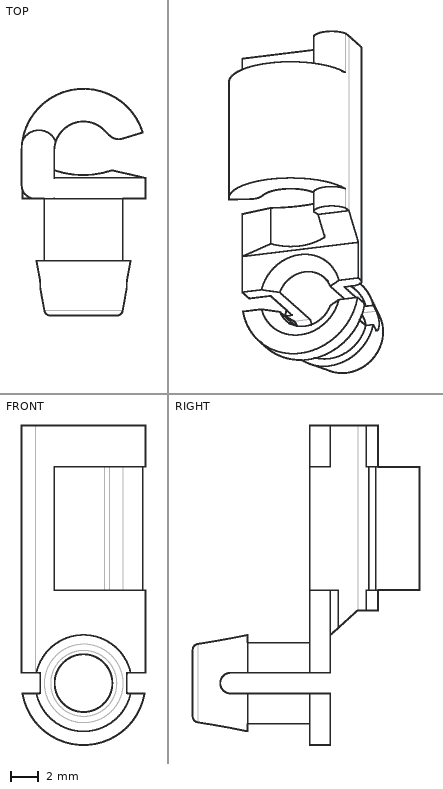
import cadquery as cq
import math

half_width = 4.5
plate_thickness = 1.5
top_z = 18.72
corner_radius = 1.0

hook_center_y = 3.48
hook_outer_radius = half_width
hook_inner_radius = 2.11
hook_end_angle = math.radians(17)
hook_flat_angle = math.radians(45)
hook_lip_radius = 2.97
wall_inner_x = -hook_inner_radius
wall_tip_y = 4.97
wall_cap_start_y = 4.13
wall_bottom_z = 5.27
slope_bottom_z = 3.48
window_bottom_z = 6.75
window_top_z = 15.7

saddle_peak_x = 2.07
saddle_peak_y = 2.07
saddle_valley_y = 1.72

peg_radius = 2.95
head_start = 4.5
head_radius = 3.5
head_tip_radius = 2.79
head_tip_rounding = 0.46
peg_length = 8.5
bore_radius = 2.1
countersink = 1.0
slot_width = 1.49
slot_depth = 6.48


def prism(sketch, bottom_z, upper_z):
    """Extrude a closed XY outline between two heights."""
    return sketch.extrude(upper_z - bottom_z).translate((0, 0, bottom_z))


def on_hook(radius, angle):
    """Point at a radius and angle about the hook axis."""
    return (radius * math.cos(angle), hook_center_y + radius * math.sin(angle))


def circle_x(radius, y):
    """Left-hand X of a circle about the hook axis at a given Y."""
    return -math.sqrt(radius**2 - (y - hook_center_y) ** 2)


def make_plate():
    panel = cq.Workplane("XY").box(2 * half_width, plate_thickness, top_z, centered=(True, False, False))
    window = cq.Workplane("XY").box(
        half_width - wall_inner_x, plate_thickness, window_top_z - window_bottom_z, centered=False
    )
    panel = panel.cut(window.translate((wall_inner_x, 0, window_bottom_z)))
    disc = cq.Workplane("XZ").circle(half_width).extrude(-plate_thickness)
    lower_half = cq.Workplane("XY").box(
        2 * half_width, plate_thickness, half_width, centered=(True, False, False)
    ).translate((0, 0, -half_width))
    return panel.union(disc.intersect(lower_half))


def make_wall():
    cap_left = (circle_x(hook_outer_radius, wall_cap_start_y), wall_cap_start_y)
    cap_right = (circle_x(hook_inner_radius, wall_cap_start_y), wall_cap_start_y)
    shoulder_y = (hook_center_y + wall_cap_start_y) / 2
    outline = (
        cq.Workplane("XY")
        .moveTo(-half_width, 0)
        .lineTo(-half_width, hook_center_y)
        .threePointArc((circle_x(hook_outer_radius, shoulder_y), shoulder_y), cap_left)
        .threePointArc(((wall_inner_x - half_width) / 2, wall_tip_y), cap_right)
        .threePointArc(
            (circle_x(hook_inner_radius, shoulder_y), shoulder_y), (wall_inner_x, hook_center_y)
        )
        .lineTo(wall_inner_x, 0)
        .close()
    )
    return prism(outline, 0, top_z)


def make_saddle():
    outline = (
        cq.Workplane("XY")
        .moveTo(wall_inner_x, 0)
        .lineTo(wall_inner_x, saddle_peak_y)
        .threePointArc((0, saddle_valley_y), (saddle_peak_x, saddle_peak_y))
        .lineTo(half_width, plate_thickness)
        .lineTo(half_width, 0)
        .close()
    )
    return prism(outline, 0, window_bottom_z)


def make_hook():
    middle = math.radians(90)
    corner_angle = hook_flat_angle - hook_end_angle
    lip_setback = hook_lip_radius - hook_inner_radius / math.cos(corner_angle)
    flat_length = hook_inner_radius * math.tan(corner_angle) - lip_setback
    flat_x, flat_y = on_hook(hook_inner_radius, hook_flat_angle)
    lip_start = (
        flat_x + flat_length * math.sin(hook_flat_angle),
        flat_y - flat_length * math.cos(hook_flat_angle),
    )
    outline = (
        cq.Workplane("XY")
        .moveTo(-hook_outer_radius, hook_center_y)
        .threePointArc(on_hook(hook_outer_radius, middle), on_hook(hook_outer_radius, hook_end_angle))
        .lineTo(*on_hook(hook_lip_radius, hook_end_angle))
        .tangentArcPoint(lip_start, relative=False)
        .lineTo(flat_x, flat_y)
        .threePointArc(on_hook(hook_inner_radius, middle), (-hook_inner_radius, hook_center_y))
        .close()
    )
    return prism(outline, window_bottom_z, window_top_z)


def make_lower_relief():
    """Space behind the plate, under the sloping lower end of wall and saddle."""
    return (
        cq.Workplane("YZ")
        .moveTo(plate_thickness, 0)
        .lineTo(plate_thickness, slope_bottom_z)
        .lineTo(hook_center_y, wall_bottom_z)
        .lineTo(2 * hook_center_y, wall_bottom_z)
        .lineTo(2 * hook_center_y, 0)
        .close()
        .extrude(half_width, both=True)
    )


def make_peg():
    shank = cq.Workplane("XZ").circle(peg_radius).extrude(head_start)
    head = (
        cq.Workplane("XY")
        .moveTo(0, -head_start)
        .lineTo(head_radius, -head_start)
        .lineTo(head_tip_radius, -peg_length)
        .lineTo(0, -peg_length)
        .close()
        .revolve(360, (0, 0, 0), (0, 1, 0))
        .faces("<Y")
        .edges()
        .fillet(head_tip_rounding)
    )
    return shank.union(head)


def make_slot():
    """Round-ended slot splitting the plate and most of the peg."""
    end_radius = slot_width / 2
    straight_end = end_radius - slot_depth
    return (
        cq.Workplane("YZ")
        .moveTo(plate_thickness, end_radius)
        .lineTo(straight_end, end_radius)
        .threePointArc((-slot_depth, 0), (straight_end, -end_radius))
        .lineTo(plate_thickness, -end_radius)
        .close()
        .extrude(half_width, both=True)
    )


def make_corner_trim():
    """Material outside the rounded vertical corner of the plate and wall."""
    block = cq.Workplane("XY").rect(corner_radius, corner_radius, centered=False).extrude(top_z)
    rounding = cq.Workplane("XY").center(corner_radius, corner_radius).circle(corner_radius).extrude(top_z)
    return block.cut(rounding).translate((-half_width, 0, 0))


def make_bore():
    """Through bore with a 45 degree countersink on the back of the plate."""
    return (
        cq.Workplane("XY")
        .moveTo(0, -peg_length)
        .lineTo(bore_radius, -peg_length)
        .lineTo(bore_radius, plate_thickness - countersink)
        .lineTo(bore_radius + countersink, plate_thickness)
        .lineTo(0, plate_thickness)
        .close()
        .revolve(360, (0, 0, 0), (0, 1, 0))
    )


back = make_wall().union(make_saddle()).cut(make_lower_relief())
body = make_plate().union(back).union(make_hook()).cut(make_corner_trim())
result = body.union(make_peg()).cut(make_bore()).cut(make_slot())